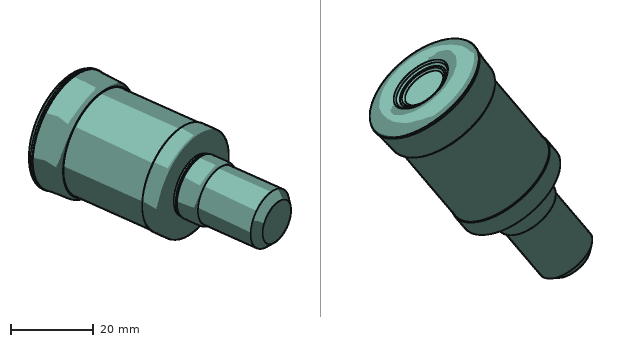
import cadquery as cq
import math

TOTAL_LENGTH = 65.1
AXIS_START = (0, 0, 0)
AXIS_END = (1, 0, 0)

CAP_LENGTH = 11.2
CAP_RADIUS = 31.95 / 2
CREST_RADIUS = 11.4
DOME_EDGE_X = 1.4
DOME_EDGE_RADIUS = 15.35
DOME_ARC = ((DOME_EDGE_RADIUS - CREST_RADIUS) ** 2 + DOME_EDGE_X**2) / (2 * DOME_EDGE_X)
RIM_START_X = 2.4
RIM_END_X = 2.9
RIM_CHAMFER = 0.1
SKIRT_END_X = 9.8
SKIRT_END_RADIUS = 15.5
CAP_BACK_RADIUS = 14.6

LIP_RADIUS = 9.0
LIP_X = DOME_ARC - math.sqrt(DOME_ARC**2 - (CREST_RADIUS - LIP_RADIUS) ** 2)
THROAT_RADIUS = 8.0
THROAT_X = 0.9
LEDGE_RADIUS = 7.55
LEDGE_X = 1.35
OPENING_RADIUS = 6.75
OPENING_X = 1.75

BARREL_RADIUS = 28.6 / 2
FRONT_FACE_X = 1.9
DISH_RIM_RADIUS = 6.25
DISH_FLOOR_RADIUS = 5.6
DISH_DEPTH = 0.4

COLLAR_RADIUS = 29.0 / 2
COLLAR_START_X = 34.95
COLLAR_END_X = 40.0
COLLAR_CHAMFER = COLLAR_RADIUS - BARREL_RADIUS
COLLAR_FILLET = 0.6

NECK_RADIUS = 8.25
NECK_END_X = 40.6
SHOULDER_RADIUS = 17.0 / 2
SHOULDER_START_X = 41.2
SHOULDER_END_X = 46.15
SHANK_RADIUS = 15.75 / 2
SHANK_START_X = 47.05
SHANK_CHAMFER = 2.1


def revolve_about_x(profile):
    """Turn a closed profile of (X, radius) points fully around the X axis."""
    return profile.close().revolve(360, AXIS_START, AXIS_END)


def make_cap():
    profile = (
        cq.Workplane("XY")
        .moveTo(FRONT_FACE_X, OPENING_RADIUS)
        .lineTo(OPENING_X, OPENING_RADIUS)
        .lineTo(LEDGE_X, LEDGE_RADIUS)
        .lineTo(THROAT_X, THROAT_RADIUS)
        .lineTo(LIP_X, LIP_RADIUS)
        .threePointArc((0, CREST_RADIUS), (DOME_EDGE_X, DOME_EDGE_RADIUS))
        .tangentArcPoint((RIM_START_X, CAP_RADIUS), relative=False)
        .lineTo(RIM_END_X, CAP_RADIUS)
        .lineTo(RIM_END_X + RIM_CHAMFER, CAP_RADIUS - RIM_CHAMFER)
        .lineTo(SKIRT_END_X, SKIRT_END_RADIUS)
        .tangentArcPoint((CAP_LENGTH, CAP_BACK_RADIUS), relative=False)
        .lineTo(CAP_LENGTH, BARREL_RADIUS)
        .lineTo(FRONT_FACE_X, BARREL_RADIUS)
    )
    return revolve_about_x(profile)


def make_body():
    profile = (
        cq.Workplane("XY")
        .moveTo(FRONT_FACE_X + DISH_DEPTH, 0)
        .lineTo(FRONT_FACE_X + DISH_DEPTH, DISH_FLOOR_RADIUS)
        .lineTo(FRONT_FACE_X, DISH_RIM_RADIUS)
        .lineTo(FRONT_FACE_X, BARREL_RADIUS)
        .lineTo(COLLAR_START_X, BARREL_RADIUS)
        .lineTo(COLLAR_START_X + COLLAR_CHAMFER, COLLAR_RADIUS)
        .lineTo(COLLAR_END_X - COLLAR_FILLET, COLLAR_RADIUS)
        .tangentArcPoint((COLLAR_END_X, COLLAR_RADIUS - COLLAR_FILLET), relative=False)
        .lineTo(COLLAR_END_X, NECK_RADIUS)
        .lineTo(NECK_END_X, NECK_RADIUS)
        .lineTo(SHOULDER_START_X, SHOULDER_RADIUS)
        .lineTo(SHOULDER_END_X, SHOULDER_RADIUS)
        .tangentArcPoint((SHANK_START_X, SHANK_RADIUS), relative=False)
        .lineTo(TOTAL_LENGTH - SHANK_CHAMFER, SHANK_RADIUS)
        .lineTo(TOTAL_LENGTH, SHANK_RADIUS - SHANK_CHAMFER)
        .lineTo(TOTAL_LENGTH, 0)
    )
    return revolve_about_x(profile)


cap = make_cap()
body = make_body()

result = cq.Compound.makeCompound([cap.val(), body.val()])